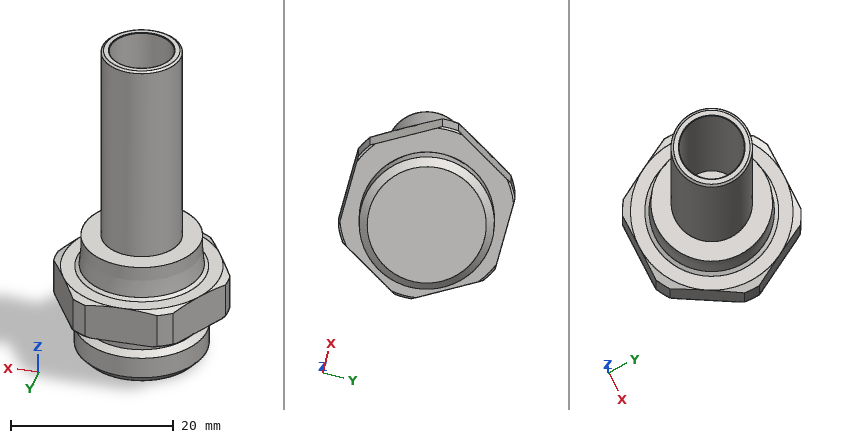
import cadquery as cq
import math

total_height = 43.6

thread_radius = 8.33
groove_radius = 7.32
end_radius = groove_radius
lead_in_height = 1.1
thread_top = 3.92
groove_bottom = 4.55
groove_top = 6.6
neck_flare_radius = 7.67

hex_bottom = 7.1
hex_top = 12.1
hex_across_flats = 20.0
hex_across_corners = 22.0
hex_corner_radius = hex_across_corners / 2
hex_top_bevel = 0.35
hex_bottom_bevel = 0.15
bottom_bevel_width = 0.25

collar_foot_radius = 8.25
collar_base_radius = 7.7
collar_radius = 7.5
collar_foot_top = 12.43
collar_taper_top = 14.7
collar_top = 16.65

tube_radius = 5.0
bore_radius = 4.0
bore_mouth_radius = 4.1
bore_mouth_depth = 0.1
tube_edge_width = 0.3
tube_edge_height = 0.2
bore_floor = collar_top


def revolve_profile(points):
    """Turn a closed (radius, height) outline about the Z axis."""
    return cq.Workplane("XZ").polyline(points).close().revolve(360, (0, 0), (0, 1))


def make_hexagon():
    """Hexagon with flats facing +Y and -Y, turned and beveled at its corners."""
    sharp_diameter = hex_across_flats / math.cos(math.pi / 6)
    prism = (
        cq.Workplane("XY")
        .workplane(offset=hex_bottom)
        .polygon(6, sharp_diameter)
        .extrude(hex_top - hex_bottom)
    )
    turned_blank = revolve_profile([
        (0, hex_bottom),
        (hex_corner_radius - bottom_bevel_width, hex_bottom),
        (hex_corner_radius, hex_bottom + hex_bottom_bevel),
        (hex_corner_radius, hex_top - hex_top_bevel),
        (hex_across_flats / 2, hex_top),
        (0, hex_top),
    ])
    return prism.intersect(turned_blank)


def make_threaded_end():
    """Plain thread cylinder with lead-in chamfer, and the relief groove above it."""
    return revolve_profile([
        (0, 0),
        (end_radius, 0),
        (thread_radius, lead_in_height),
        (thread_radius, thread_top),
        (groove_radius, groove_bottom),
        (groove_radius, groove_top),
        (neck_flare_radius, hex_bottom),
        (0, hex_bottom),
    ])


def make_collar_and_tube():
    """Collar with a flared, tapered foot, carrying the long tube."""
    return revolve_profile([
        (0, hex_top),
        (collar_foot_radius, hex_top),
        (collar_base_radius, collar_foot_top),
        (collar_radius, collar_taper_top),
        (collar_radius, collar_top),
        (tube_radius, collar_top),
        (tube_radius, total_height - tube_edge_height),
        (tube_radius - tube_edge_width, total_height),
        (0, total_height),
    ])


def make_bore():
    """Blind bore of the tube, slightly beveled at the mouth."""
    return revolve_profile([
        (0, bore_floor),
        (bore_radius, bore_floor),
        (bore_radius, total_height - bore_mouth_depth),
        (bore_mouth_radius, total_height),
        (0, total_height),
    ])


body = make_threaded_end().union(make_hexagon()).union(make_collar_and_tube())
result = body.cut(make_bore())